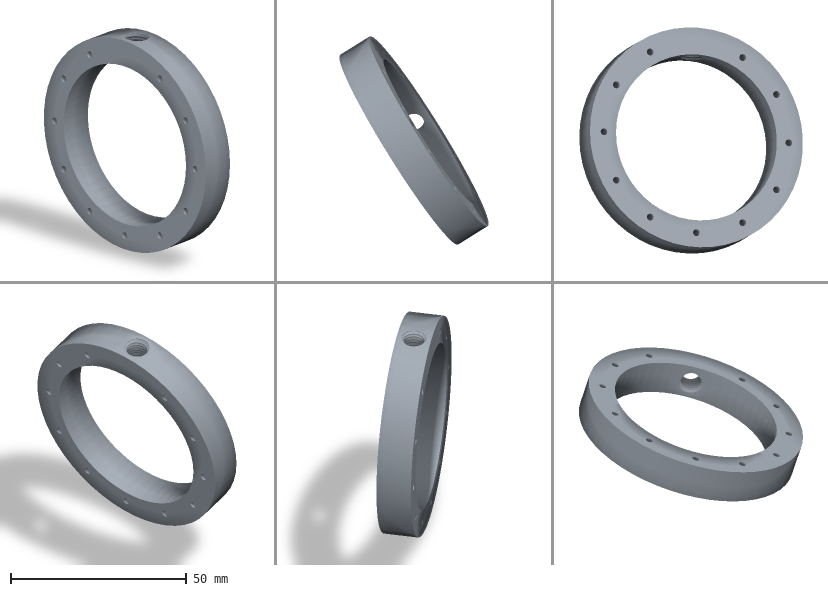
import cadquery as cq
import math

outer_diameter = 63.8
inner_diameter = 48.2
ring_width = 10.0

bolt_circle_diameter = 55.4
bolt_hole_diameter = 2.0
bolt_positions = 12
threaded_hole_angle = 90.0

thread_major_diameter = 7.0
thread_minor_diameter = 5.95
thread_pitch = 1.0
thread_flank_angle = 60.0
thread_start_angle = 120.0
thread_overrun = 2 * thread_pitch
groove_overlap = 0.05
root_width = thread_pitch / 8
countersink_diameter = 7.1


def make_ring():
    """Plain ring centred on the origin."""
    return (
        cq.Workplane("XZ")
        .circle(outer_diameter / 2)
        .circle(inner_diameter / 2)
        .extrude(ring_width / 2, both=True)
    )


def make_bolt_holes():
    """Evenly spaced pins, leaving out the place taken by the threaded hole."""
    step = 360.0 / bolt_positions
    radius = bolt_circle_diameter / 2
    centres = []
    for index in range(bolt_positions):
        degrees = index * step
        if degrees == threaded_hole_angle:
            continue
        angle = math.radians(degrees)
        centres.append((radius * math.cos(angle), radius * math.sin(angle)))
    return (
        cq.Workplane("XZ")
        .pushPoints(centres)
        .circle(bolt_hole_diameter / 2)
        .extrude(ring_width, both=True)
    )


thread_bottom = inner_diameter / 2 - thread_overrun
thread_length = outer_diameter / 2 + thread_overrun - thread_bottom


def make_thread_bore():
    """Cylinder at the minor diameter of the thread."""
    return (
        cq.Workplane("XY", origin=(0, 0, thread_bottom))
        .circle(thread_minor_diameter / 2)
        .extrude(thread_length)
    )


def make_thread_groove():
    """Right-hand helical groove with straight flanks and a narrow flat root."""
    minor_radius = thread_minor_diameter / 2
    major_radius = thread_major_diameter / 2
    mouth_radius = minor_radius - groove_overlap
    root_half_width = root_width / 2
    flank_slope = math.tan(math.radians(thread_flank_angle / 2))
    mouth_half_width = root_half_width + (major_radius - mouth_radius) * flank_slope
    helix = cq.Wire.makeHelix(
        thread_pitch, thread_length, minor_radius, center=cq.Vector(0, 0, thread_bottom)
    )
    return (
        cq.Workplane("XZ", origin=(0, 0, thread_bottom))
        .moveTo(mouth_radius, -mouth_half_width)
        .lineTo(major_radius, -root_half_width)
        .lineTo(major_radius, root_half_width)
        .lineTo(mouth_radius, mouth_half_width)
        .close()
        .sweep(cq.Workplane(helix), isFrenet=True)
        .rotate((0, 0, 0), (0, 0, 1), thread_start_angle)
    )


def make_countersink():
    """45 degree cone at the mouth, full width at the lowest point of the curved rim."""
    small_radius = thread_minor_diameter / 2
    large_radius = countersink_diameter / 2
    rim_height = math.sqrt((outer_diameter / 2) ** 2 - large_radius ** 2)
    cone_bottom = rim_height - (large_radius - small_radius)
    top = outer_diameter / 2 + thread_overrun
    return (
        cq.Workplane("XZ")
        .moveTo(0, cone_bottom)
        .lineTo(small_radius, cone_bottom)
        .lineTo(large_radius, rim_height)
        .lineTo(large_radius, top)
        .lineTo(0, top)
        .close()
        .revolve(360, (0, 0, 0), (0, 1, 0))
    )


result = (
    make_ring()
    .cut(make_bolt_holes())
    .cut(make_thread_groove())
    .cut(make_thread_bore())
    .cut(make_countersink())
)